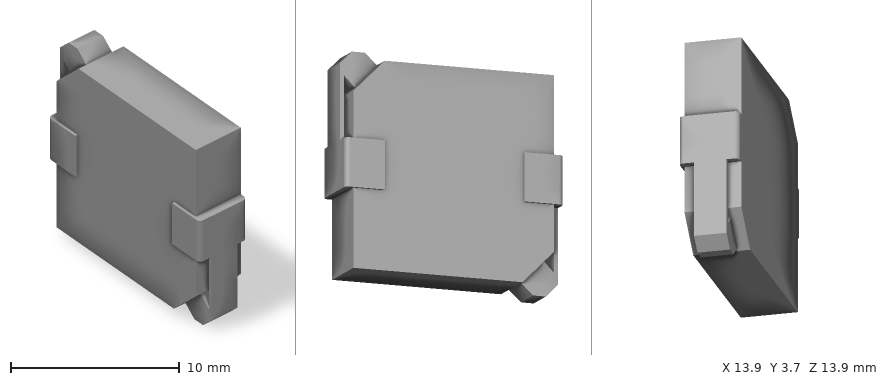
import cadquery as cq

span = 13.9
half_span = span / 2

body_width = 12.76
body_depth = 3.5
corner_cut = 2.0
side_gap = (span - body_width) / 2

pad_thickness = 0.2
pad_length = 2.5
terminal_height = 3.0
bend_radius = 0.3

strip_width = 2.0
strip_thickness = 0.26
head_bevel = 0.78
head_top_end = 1.58
head_side_end = 2.4
notch_drop = 1.49
embed = 0.14


def make_body():
    """Body block with its upper-left and lower-right corners cut."""
    half = body_width / 2
    outline = [
        (-half, -half),
        (half - corner_cut, -half),
        (half, -half + corner_cut),
        (half, half),
        (-half + corner_cut, half),
        (-half, half - corner_cut),
    ]
    return cq.Workplane("XZ").polyline(outline).close().extrude(body_depth)


def make_terminal():
    """Left side block and front pad with rounded outer edges."""
    depth = body_depth + pad_thickness
    block = (
        cq.Workplane("XY")
        .box(side_gap, depth, terminal_height, centered=(False, False, True))
        .translate((-half_span, -depth, 0))
        .edges("|Z and <X")
        .fillet(bend_radius)
    )
    pad = (
        cq.Workplane("XY")
        .box(pad_length - bend_radius, pad_thickness, terminal_height, centered=(False, False, True))
        .translate((bend_radius - half_span, -depth, 0))
    )
    return block.union(pad)


def make_strip():
    """Left strip and head, running from the terminal into the cut corner."""
    cut_sum = 2 * side_gap + corner_cut
    head_side_drop = cut_sum - head_side_end
    notch_run = (cut_sum - strip_thickness - notch_drop) / 2
    notch_end = strip_thickness + notch_run
    notch_end_drop = notch_drop + notch_run
    outline = [
        (0, half_span),
        (0, head_bevel),
        (head_bevel, 0),
        (head_top_end, 0),
        (head_side_end, head_side_drop),
        (head_side_end + embed, head_side_drop + embed),
        (notch_end + embed, notch_end_drop + embed),
        (strip_thickness, notch_drop),
        (strip_thickness, half_span),
    ]
    points = [(across - half_span, half_span - drop) for across, drop in outline]
    return (
        cq.Workplane("XZ", origin=(0, -(body_depth - strip_width) / 2, 0))
        .polyline(points)
        .close()
        .extrude(strip_width)
    )


left_clip = make_terminal().union(make_strip())
right_clip = left_clip.rotate((0, 0, 0), (0, 1, 0), 180)
result = make_body().union(left_clip).union(right_clip)